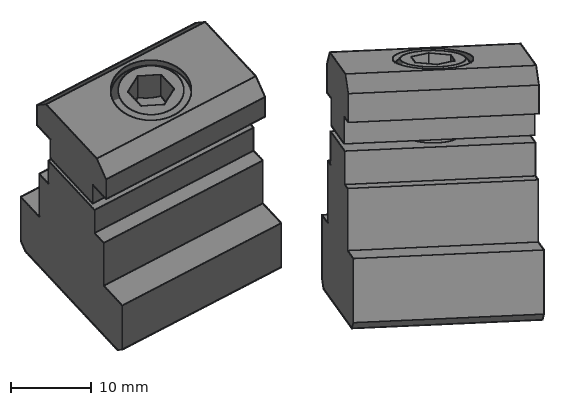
import cadquery as cq
import math

length = 24.0
height = 31.4

base_width = 22.0
base_top = 9.2
base_chamfer = 1.0
body_width = 14.0
body_top = 17.15
neck_width = 10.02
neck_top = 21.4

clamp_bottom = 22.23
clamp_neck_width = 9.2
clamp_shoulder = 25.72
clamp_width = 15.0
clamp_chamfer = 2.0

shank_diameter = 6.0
head_diameter = 10.02
head_height = 5.0
head_chamfer = 0.95
socket_across_flats = 5.0
socket_depth = 4.0
socket_cone_angle = 120.0

shank_engagement = 6.0


def symmetric_bar(half_outline):
    """Mirror a right-hand outline in X and extrude it along Y, centred."""
    mirrored = [(-x, z) for x, z in reversed(half_outline)]
    return cq.Workplane("XZ").polyline(half_outline + mirrored).close().extrude(length / 2, both=True)


def make_base():
    return symmetric_bar([
        (base_width / 2 - base_chamfer, 0),
        (base_width / 2, base_chamfer),
        (base_width / 2, base_top),
        (body_width / 2, base_top),
        (body_width / 2, body_top),
        (neck_width / 2, body_top),
        (neck_width / 2, neck_top),
    ])


def make_clamp():
    bar = symmetric_bar([
        (clamp_neck_width / 2, clamp_bottom),
        (clamp_neck_width / 2, clamp_shoulder),
        (clamp_width / 2, clamp_shoulder),
        (clamp_width / 2, height - clamp_chamfer),
        (clamp_width / 2 - clamp_chamfer, height),
    ])
    counterbore = (
        cq.Workplane("XY", origin=(0, 0, height - head_height))
        .circle(head_diameter / 2)
        .extrude(head_height)
    )
    return bar.cut(counterbore)


def make_socket():
    """Hexagonal socket, corners along X, ending in a conical bottom."""
    corner_radius = socket_across_flats / math.sqrt(3)
    cone_depth = corner_radius / math.tan(math.radians(socket_cone_angle / 2))
    hexagon = (
        cq.Workplane("XY", origin=(0, 0, height))
        .polygon(6, 2 * corner_radius)
        .extrude(-(socket_depth + cone_depth))
    )
    drill = (
        cq.Workplane("XZ")
        .moveTo(0, height)
        .lineTo(corner_radius, height)
        .lineTo(corner_radius, height - socket_depth)
        .lineTo(0, height - socket_depth - cone_depth)
        .close()
        .revolve(360, (0, 0, 0), (0, 1, 0))
    )
    return hexagon.intersect(drill)


def make_screw():
    head_bottom = height - head_height
    shank_bottom = neck_top - shank_engagement
    head = (
        cq.Workplane("XY", origin=(0, 0, head_bottom))
        .circle(head_diameter / 2)
        .extrude(head_height)
        .faces(">Z")
        .chamfer(head_chamfer)
    )
    shank = (
        cq.Workplane("XY", origin=(0, 0, shank_bottom))
        .circle(shank_diameter / 2)
        .extrude(head_bottom - shank_bottom)
    )
    return head.union(shank)


result = make_base().union(make_clamp()).union(make_screw()).cut(make_socket())